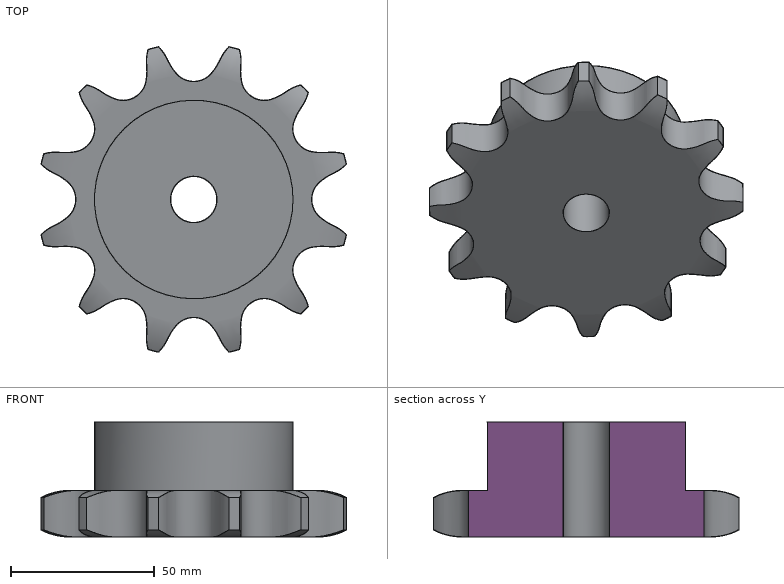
import cadquery as cq
import math

TOOTH_COUNT = 12
CHAIN_PITCH = 25.4
ROLLER_DIAMETER = 15.88
TIP_DIAMETER = 109.0
TOOTH_WIDTH = 16.2
TOTAL_HEIGHT = 40.0
HUB_DIAMETER = 69.0
BORE_DIAMETER = 16.0
BEVEL_RADIUS = 26.0
BEVEL_DEPTH = 2.5
SEAT_CLEARANCE = 0.0381

SEAT_RADIUS_FACTOR = 0.5025
WORKING_CENTER_FACTOR = 0.8
TIP_CENTER_FACTOR = 1.4
HALF_PITCH_ANGLE = 180.0 / TOOTH_COUNT
SEAT_END_ANGLE = 35.0 + 60.0 / TOOTH_COUNT
WORKING_FACE_ANGLE = 18.0 - 56.0 / TOOTH_COUNT
FLANK_ANGLE = SEAT_END_ANGLE - WORKING_FACE_ANGLE
SEAT_RADIUS = SEAT_RADIUS_FACTOR * ROLLER_DIAMETER + SEAT_CLEARANCE
WORKING_CENTER_DISTANCE = WORKING_CENTER_FACTOR * ROLLER_DIAMETER
WORKING_RADIUS = SEAT_RADIUS + WORKING_CENTER_DISTANCE
TIP_CENTER_DISTANCE = TIP_CENTER_FACTOR * ROLLER_DIAMETER
PITCH_RADIUS = CHAIN_PITCH / (2 * math.sin(math.radians(HALF_PITCH_ANGLE)))
TIP_RADIUS = TIP_DIAMETER / 2


def polar(center, radius, angle):
    """Point at a distance and an angle in degrees from a center."""
    radians = math.radians(angle)
    return (center[0] + radius * math.cos(radians), center[1] + radius * math.sin(radians))


def gap_side():
    """Points along the +X side of the tooth gap centered on +Y, from the gap bottom outward."""
    seat_center = (0.0, PITCH_RADIUS)
    working_center = polar(seat_center, WORKING_CENTER_DISTANCE, 180 - SEAT_END_ANGLE)
    tip_center = polar(seat_center, TIP_CENTER_DISTANCE, -HALF_PITCH_ANGLE)

    seat_bottom = (0.0, PITCH_RADIUS - SEAT_RADIUS)
    seat_end = polar(seat_center, SEAT_RADIUS, -SEAT_END_ANGLE)
    working_middle = polar(working_center, WORKING_RADIUS, -SEAT_END_ANGLE + WORKING_FACE_ANGLE / 2)
    working_end = polar(working_center, WORKING_RADIUS, -FLANK_ANGLE)

    normal = polar((0.0, 0.0), 1.0, -FLANK_ANGLE)
    offset_x = tip_center[0] - working_end[0]
    offset_y = tip_center[1] - working_end[1]
    crown_radius = offset_x * normal[0] + offset_y * normal[1]
    flank_start_angle = 180 - FLANK_ANGLE
    flank_end = polar(tip_center, crown_radius, flank_start_angle)

    center_distance = math.hypot(*tip_center)
    cosine = (TIP_RADIUS**2 - center_distance**2 - crown_radius**2) / (2 * center_distance * crown_radius)
    outward_angle = math.degrees(math.atan2(tip_center[1], tip_center[0]))
    crown_end_angle = outward_angle + math.degrees(math.acos(cosine))
    crown_middle = polar(tip_center, crown_radius, (flank_start_angle + crown_end_angle) / 2)
    crown_end = polar(tip_center, crown_radius, crown_end_angle)
    return seat_bottom, seat_end, working_middle, working_end, flank_end, crown_middle, crown_end


def mirrored(point):
    """Matching point on the -X side of the gap."""
    return (-point[0], point[1])


def make_gap():
    """Solid that removes one tooth gap, reaching past the outside circle."""
    bottom, seat_end, working_middle, working_end, flank_end, crown_middle, crown_end = gap_side()
    outer_end = (crown_end[0], TIP_DIAMETER)
    return (
        cq.Workplane("XY")
        .moveTo(*mirrored(seat_end))
        .threePointArc(bottom, seat_end)
        .threePointArc(working_middle, working_end)
        .lineTo(*flank_end)
        .threePointArc(crown_middle, crown_end)
        .lineTo(*outer_end)
        .lineTo(*mirrored(outer_end))
        .lineTo(*mirrored(crown_end))
        .threePointArc(mirrored(crown_middle), mirrored(flank_end))
        .lineTo(*mirrored(working_end))
        .threePointArc(mirrored(working_middle), mirrored(seat_end))
        .close()
        .extrude(TOOTH_WIDTH)
    )


def make_blank():
    """Toothed disc before cutting, with both rim edges rounded by tangent arcs."""
    bevel_angle = math.acos(1 - BEVEL_DEPTH / BEVEL_RADIUS)
    bevel_start = TIP_RADIUS - BEVEL_RADIUS * math.sin(bevel_angle)
    middle_radius = bevel_start + BEVEL_RADIUS * math.sin(bevel_angle / 2)
    middle_depth = BEVEL_RADIUS * (1 - math.cos(bevel_angle / 2))
    return (
        cq.Workplane("XZ")
        .lineTo(bevel_start, 0)
        .threePointArc((middle_radius, middle_depth), (TIP_RADIUS, BEVEL_DEPTH))
        .lineTo(TIP_RADIUS, TOOTH_WIDTH - BEVEL_DEPTH)
        .threePointArc((middle_radius, TOOTH_WIDTH - middle_depth), (bevel_start, TOOTH_WIDTH))
        .lineTo(0, TOOTH_WIDTH)
        .close()
        .revolve(360, (0, 0, 0), (0, 1, 0))
    )


def make_sprocket():
    """Toothed disc with a hub on its upper side and a through bore."""
    body = make_blank()
    gap = make_gap()
    for index in range(TOOTH_COUNT):
        body = body.cut(gap.rotate((0, 0, 0), (0, 0, 1), index * 2 * HALF_PITCH_ANGLE))
    hub = cq.Workplane("XY").circle(HUB_DIAMETER / 2).extrude(TOTAL_HEIGHT)
    bore = cq.Workplane("XY").circle(BORE_DIAMETER / 2).extrude(TOTAL_HEIGHT)
    return body.union(hub).cut(bore)


result = make_sprocket()